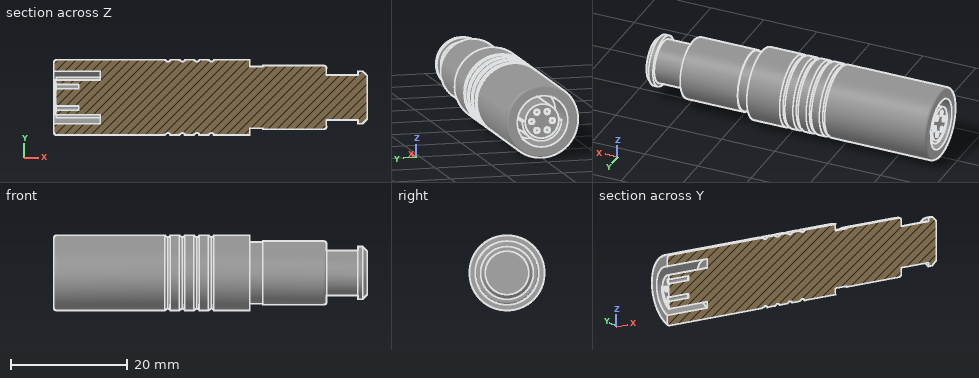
import cadquery as cq
import math

BODY_END = 33.8
NECK_END = 36.0
BARREL_END = 47.0
STEM_END = 52.4
LENGTH = 54.0

BODY_RADIUS = 6.5
NECK_RADIUS = 5.35
BARREL_RADIUS = 5.5
STEM_RADIUS = 3.9
FLANGE_RADIUS = 4.55

EDGE_FILLET = 0.5
FLANGE_CHAMFER = 0.8

GROOVE_COUNT = 4
GROOVE_START = 19.1
GROOVE_PITCH = 2.5
GROOVE_CONE_LENGTH = 0.5
GROOVE_ARC_LENGTH = 0.5
GROOVE_DEPTH = 0.33

SOCKET_RADIUS = 4.5
SOCKET_DEPTH = 8.0
INSERT_RADIUS = 3.0
INSERT_RECESS = 0.3
KEY_RADIUS = 3.5
KEY_RECESS = 0.4

CONTACT_COUNT = 6
CONTACT_CIRCLE_RADIUS = 1.85
CONTACT_BORE_DEPTH = 4.0
CONTACT_BORE_RADIUS = 0.35
COUNTERBORE_RADIUS = 0.5
COUNTERBORE_DEPTH = 0.1


def cylinder(start, end, radius, y=0.0, z=0.0):
    """Cylinder along X between two stations."""
    base = cq.Vector(start, y, z)
    return cq.Workplane(cq.Solid.makeCylinder(radius, end - start, base, cq.Vector(1, 0, 0)))


def make_shell():
    """Stepped outer shape, turned about X."""
    body = cylinder(0, BODY_END, BODY_RADIUS).faces("<X").edges().fillet(EDGE_FILLET)
    neck = cylinder(BODY_END, NECK_END, NECK_RADIUS)
    barrel = cylinder(NECK_END, BARREL_END, BARREL_RADIUS).faces(">X").edges().fillet(EDGE_FILLET)
    stem = cylinder(BARREL_END, STEM_END, STEM_RADIUS)
    flange = cylinder(STEM_END, LENGTH, FLANGE_RADIUS).faces(">X").edges().chamfer(FLANGE_CHAMFER)
    return body.union(neck).union(barrel).union(stem).union(flange)


def make_groove(start):
    """Ring of material to remove for one grip groove."""
    bottom_x = start + GROOVE_CONE_LENGTH
    bottom_radius = BODY_RADIUS - GROOVE_DEPTH
    arc_radius = (GROOVE_ARC_LENGTH**2 + GROOVE_DEPTH**2) / (2 * GROOVE_DEPTH)
    arc_end = (bottom_x + GROOVE_ARC_LENGTH, BODY_RADIUS)
    return (
        cq.Workplane("XY")
        .moveTo(start, BODY_RADIUS)
        .lineTo(bottom_x, bottom_radius)
        .radiusArc(arc_end, -arc_radius)
        .close()
        .revolve(360, (0, 0, 0), (1, 0, 0))
    )


def make_key():
    """Lower half of a collar around the insert."""
    collar = cylinder(KEY_RECESS, SOCKET_DEPTH, KEY_RADIUS)
    collar = collar.cut(cylinder(KEY_RECESS, SOCKET_DEPTH, INSERT_RADIUS))
    lower_half = cq.Workplane("XY").box(
        SOCKET_DEPTH, 2 * KEY_RADIUS, KEY_RADIUS, centered=(False, True, False)
    ).translate((0, 0, -KEY_RADIUS))
    return collar.intersect(lower_half)


def make_insert():
    """Contact carrier with a ring of counterbored contact holes."""
    insert = cylinder(INSERT_RECESS, SOCKET_DEPTH, INSERT_RADIUS)
    counterbore_end = INSERT_RECESS + COUNTERBORE_DEPTH
    bore_end = INSERT_RECESS + CONTACT_BORE_DEPTH
    for index in range(CONTACT_COUNT):
        angle = index * 2 * math.pi / CONTACT_COUNT
        y = CONTACT_CIRCLE_RADIUS * math.cos(angle)
        z = CONTACT_CIRCLE_RADIUS * math.sin(angle)
        insert = insert.cut(cylinder(INSERT_RECESS, counterbore_end, COUNTERBORE_RADIUS, y, z))
        insert = insert.cut(cylinder(INSERT_RECESS, bore_end, CONTACT_BORE_RADIUS, y, z))
    return insert


connector = make_shell()
for groove_index in range(GROOVE_COUNT):
    connector = connector.cut(make_groove(GROOVE_START + groove_index * GROOVE_PITCH))
connector = connector.cut(cylinder(0, SOCKET_DEPTH, SOCKET_RADIUS))
result = connector.union(make_insert()).union(make_key())